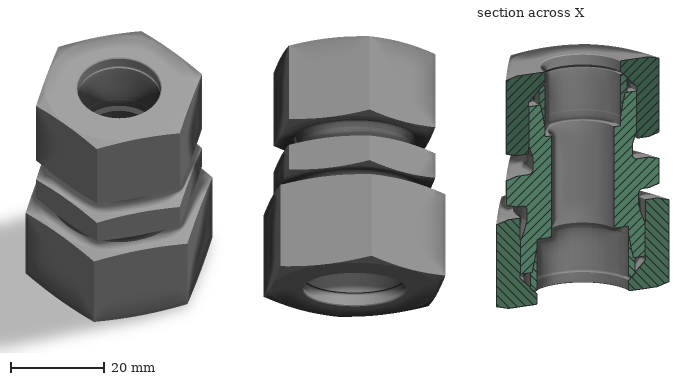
import cadquery as cq
import math


TOTAL_LENGTH = 52.0
LOWER_NUT_HEIGHT = 20.0
UPPER_NUT_HEIGHT = 18.0
LOWER_GAP = 2.5
UPPER_GAP = 4.5
HEX_BOTTOM = LOWER_NUT_HEIGHT + LOWER_GAP
HEX_TOP = TOTAL_LENGTH - UPPER_NUT_HEIGHT - UPPER_GAP

LOWER_ACROSS_FLATS = 36.0
UPPER_ACROSS_FLATS = 32.0
CHAMFER_ANGLE = 15.0
CHAMFER_INSET = 0.1

BORE_DIAMETER = 15.0
NECK_FILLET = 1.0
NECK_LENGTH = 3.3
RUNOUT_ANGLE = 20.0
SOCKET_FLOOR_DEPTH = 14.55
STUB_END_DEPTH = 7.3
SEAT_ANGLE = 12.0

LOWER_NECK_DIAMETER = 27.0
LOWER_THREAD_DIAMETER = 30.0
LOWER_TUBE_DIAMETER = 22.0
LOWER_SEAT_DIAMETER = 24.3

UPPER_NECK_DIAMETER = 24.0
UPPER_THREAD_DIAMETER = 26.0
UPPER_TUBE_DIAMETER = 18.0
UPPER_SEAT_DIAMETER = 20.3

LIP_CHAMFER = 0.2
LIP_DEPTH = 2.4
RING_REAR_DEPTH = 3.05
RING_NOSE_LENGTH = 5.1
RING_COLLAR_STEP = 0.5


def revolve_profile(profile):
    """Revolve a closed (radius, z) profile about the Z axis."""
    return profile.close().revolve(360, (0, 0, 0), (0, 1, 0))


def polygon_of_revolution(points):
    return revolve_profile(cq.Workplane("XZ").polyline(points))


def chamfered_hexagon(across_flats, bottom, height):
    """Hexagonal prism with corners on the Y axis and both ends chamfered."""
    corner_radius = across_flats / math.sqrt(3)
    face_radius = across_flats / 2 - CHAMFER_INSET
    drop = (corner_radius - face_radius) * math.tan(math.radians(CHAMFER_ANGLE))
    top = bottom + height
    prism = (
        cq.Workplane("XY", origin=(0, 0, bottom))
        .polygon(6, 2 * corner_radius)
        .extrude(height)
        .rotate((0, 0, 0), (0, 0, 1), 30)
    )
    envelope = polygon_of_revolution([
        (0, bottom),
        (face_radius, bottom),
        (corner_radius, bottom + drop),
        (corner_radius, top - drop),
        (face_radius, top),
        (0, top),
    ])
    return prism.intersect(envelope)


def flip_to_top(solid):
    """Turn a piece built on the lower end over to the upper end."""
    return solid.mirror("XY").translate((0, 0, TOTAL_LENGTH))


def make_nut(across_flats, height, tube_diameter, thread_diameter):
    """Nut with its outer end at Z = 0: tube hole, 45 degree cone, thread bore."""
    tube_radius = tube_diameter / 2
    thread_radius = thread_diameter / 2
    cone_end = LIP_DEPTH + thread_radius - tube_radius
    cavity = polygon_of_revolution([
        (0, 0),
        (tube_radius + LIP_CHAMFER, 0),
        (tube_radius, LIP_CHAMFER),
        (tube_radius, LIP_DEPTH),
        (thread_radius, cone_end),
        (thread_radius, height),
        (0, height),
    ])
    return chamfered_hexagon(across_flats, 0, height).cut(cavity)


def seat_radius(seat_diameter, depth_in_body):
    """Radius of the seat cone at a depth below the end of the body."""
    return seat_diameter / 2 - depth_in_body * math.tan(math.radians(SEAT_ANGLE))


def make_cutting_ring(tube_diameter, seat_diameter):
    """Ring with its rear toward Z = 0, between the nut cone and the seat cone."""
    tube_radius = tube_diameter / 2
    mouth_radius = seat_diameter / 2
    rear_radius = tube_radius + RING_REAR_DEPTH - LIP_DEPTH
    collar_radius = mouth_radius + RING_COLLAR_STEP
    collar_depth = RING_REAR_DEPTH + collar_radius - rear_radius
    nose_depth = STUB_END_DEPTH + RING_NOSE_LENGTH
    return polygon_of_revolution([
        (tube_radius, RING_REAR_DEPTH),
        (rear_radius, RING_REAR_DEPTH),
        (collar_radius, collar_depth),
        (collar_radius, STUB_END_DEPTH),
        (mouth_radius, STUB_END_DEPTH),
        (seat_radius(seat_diameter, RING_NOSE_LENGTH), nose_depth),
        (tube_radius, nose_depth),
    ])


def make_socket(tube_diameter, seat_diameter):
    """Cutter for the tube socket and its conical mouth at the lower end."""
    tube_radius = tube_diameter / 2
    mouth_radius = seat_diameter / 2
    seat_length = (mouth_radius - tube_radius) / math.tan(math.radians(SEAT_ANGLE))
    return polygon_of_revolution([
        (0, STUB_END_DEPTH),
        (mouth_radius, STUB_END_DEPTH),
        (tube_radius, STUB_END_DEPTH + seat_length),
        (tube_radius, SOCKET_FLOOR_DEPTH),
        (0, SOCKET_FLOOR_DEPTH),
    ])


def make_stub(neck_diameter, thread_diameter, hex_depth):
    """Lower end of the body: thread, conical run-out, neck and fillet at the hexagon."""
    neck_radius = neck_diameter / 2
    thread_radius = thread_diameter / 2

    slope = math.radians(RUNOUT_ANGLE)
    blend_start = hex_depth - NECK_LENGTH
    cone_radius = neck_radius + NECK_FILLET * (1 - math.cos(slope))
    cone_start = blend_start - NECK_FILLET * math.sin(slope)
    cone_end = cone_start - (thread_radius - cone_radius) / math.tan(slope)
    blend_middle = (
        neck_radius + NECK_FILLET * (1 - math.cos(slope / 2)),
        blend_start - NECK_FILLET * math.sin(slope / 2),
    )
    fillet_offset = NECK_FILLET * (1 - math.sqrt(0.5))
    fillet_middle = (neck_radius + fillet_offset, hex_depth - fillet_offset)
    profile = (
        cq.Workplane("XZ")
        .moveTo(0, STUB_END_DEPTH)
        .lineTo(thread_radius, STUB_END_DEPTH)
        .lineTo(thread_radius, cone_end)
        .lineTo(cone_radius, cone_start)
        .threePointArc(blend_middle, (neck_radius, blend_start))
        .lineTo(neck_radius, hex_depth - NECK_FILLET)
        .threePointArc(fillet_middle, (neck_radius + NECK_FILLET, hex_depth))
        .lineTo(0, hex_depth)
    )
    return revolve_profile(profile)


def make_body():
    """Hexagon with a stub at each end, a through bore and two tube sockets."""
    hexagon = chamfered_hexagon(UPPER_ACROSS_FLATS, HEX_BOTTOM, HEX_TOP - HEX_BOTTOM)
    bore = cq.Workplane("XY").circle(BORE_DIAMETER / 2).extrude(TOTAL_LENGTH)
    lower_socket = make_socket(LOWER_TUBE_DIAMETER, LOWER_SEAT_DIAMETER)
    upper_socket = flip_to_top(make_socket(UPPER_TUBE_DIAMETER, UPPER_SEAT_DIAMETER))
    lower_stub = make_stub(LOWER_NECK_DIAMETER, LOWER_THREAD_DIAMETER, HEX_BOTTOM)
    upper_stub = flip_to_top(
        make_stub(UPPER_NECK_DIAMETER, UPPER_THREAD_DIAMETER, TOTAL_LENGTH - HEX_TOP)
    )
    solid = hexagon.union(lower_stub).union(upper_stub)
    return solid.cut(bore).cut(lower_socket).cut(upper_socket)


body = make_body()
lower_nut = make_nut(LOWER_ACROSS_FLATS, LOWER_NUT_HEIGHT, LOWER_TUBE_DIAMETER, LOWER_THREAD_DIAMETER)
upper_nut = flip_to_top(
    make_nut(UPPER_ACROSS_FLATS, UPPER_NUT_HEIGHT, UPPER_TUBE_DIAMETER, UPPER_THREAD_DIAMETER)
)
lower_ring = make_cutting_ring(LOWER_TUBE_DIAMETER, LOWER_SEAT_DIAMETER)
upper_ring = flip_to_top(make_cutting_ring(UPPER_TUBE_DIAMETER, UPPER_SEAT_DIAMETER))

result = cq.Compound.makeCompound([
    body.val(),
    lower_nut.val(),
    upper_nut.val(),
    lower_ring.val(),
    upper_ring.val(),
])